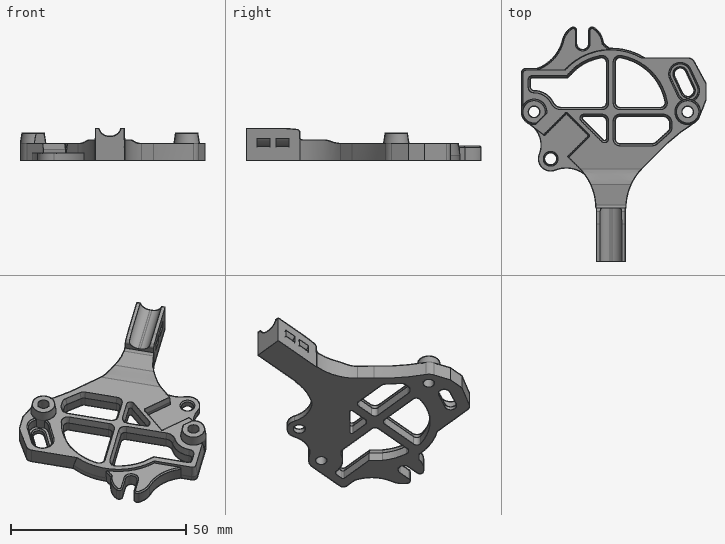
import cadquery as cq
import math


OVERALL_X = 52.76
OVERALL_Y = 66.96

PLATE_Z = 4.9
TAB_Z = 2.1
FORK_Z = 4.15
NECK_Z = 5.9
BOSS_Z = 7.8
ARM_Z = 9.2
DRAFT_Z = 1.4
WINDOW_BREAK_Z = 3.0
POCKET_BREAK_Z = 3.1

BOSS_X = 21.92
BOSS_BASE_R = 3.64
BOSS_TOP_R = 3.2
BOSS_HOLE_D = 3.2
BOSS_FLAT = 2.8
LEFT_BOSS = (-BOSS_X, 0)
RIGHT_BOSS = (BOSS_X, 0)
LEFT_X = -(BOSS_X + BOSS_BASE_R)
RIGHT_X = LEFT_X + OVERALL_X
RIM_R = 18.2
RIM_LEAN = 0.5
BLOCK_Y = 12.4
BLOCK_CORNER_R = 1.4
SHOULDER_Y = 15.42
SHOULDER_CORNER = (23.2, SHOULDER_Y)
SHOULDER_CORNER_R = 2.0
RIGHT_TOP_Y = 8.07
RIGHT_BOTTOM_Y = 3.46
FLANK_SUM = 25.05
FLANK_TOP_X = 12.4
FLANK_BOW = (17.9, -7.4)
BOSS_WRAP = (-57, -21)
TAB_LINE_ANGLE = 240.5
OVERLAP = 2.0

SPOKE_HALF = 1.3
WINDOW_FLARE = 0.65
WINDOW_R = 15.7
WINDOW_FILLET = 1.3
WINDOW_SMALL_FILLET = 0.5
UPPER_LEFT_X = -22.95
UPPER_LEFT_TOP_Y = 9.68
UPPER_LEFT_ARC_END = 128
UPPER_LEFT_LOW_FILLET = 1.0
UPPER_LEFT_GAP_FILLET = 2.5
BOSS_GAP_R = 6.1
LOWER_LEFT_SUM = 10.15
LOWER_RIGHT_X = 16.8
LOWER_RIGHT_BEND_Y = -5.1
LOWER_RIGHT_BOTTOM = (12.4, -9.05)
LOWER_RIGHT_TOP_FILLET = 2.0
LOWER_RIGHT_SLANT_FILLET = 1.5

FORK_X = -8.05
FORK_TOP_Y = 24.2
FORK_HEAD_R = 5.95
FORK_SLOT_R = 1.7
FORK_SLOT_END_Y = 19.5
FORK_TIP_R = 1.0
FORK_TIP_RISE = math.sqrt((FORK_HEAD_R - FORK_TIP_R) ** 2 - (FORK_SLOT_R + FORK_TIP_R) ** 2)
FORK_Y = FORK_TOP_Y - FORK_TIP_R - FORK_TIP_RISE
FORK_CHAMFER = 0.4
FORK_LEFT_FOOT = (-21.0, BLOCK_Y)
FORK_LEFT_HOLLOW = (-15.3, 17.0)
FORK_LEFT_ANGLE = 162
FORK_RIGHT_FOOT = (-0.3, 18.0)
FORK_RIGHT_HOLLOW = (-1.5, 19.0)
FORK_RIGHT_ANGLE = 5

EAR = (-17.2, -13.4)
EAR_R = 3.5
EAR_HOLE_D = 3.4
EAR_CHAMFER = 0.4
TAB_LEFT_R = 7.2
TAB_RIGHT_R = 8.6
TAB_END_X = -4.15
TAB_SHOULDER = (-19.1, -6.63)
POCKET_END_U = -8.98
POCKET_OPEN_U = -25.0
POCKET_V = (-8.95, 0.65)
POCKET_LEAN = 0.35

NECK_HALF = 4.3
ARM_HALF = 4.15
ARM_END_Y = FORK_TOP_Y - OVERALL_Y
ARM_START_Y = -27.5
RAMP_START_Y = -16.3
RAMP_END_Y = -20.75
ARM_FILLET = (0.9, 0.35)
ARM_FILLET_MID = (0.4, 0.3)
ARM_ROUND_START_Z = 8.0
ARM_ROUND_MID = (ARM_START_Y - 0.25, 8.6)
ARM_ROUND_END = (ARM_START_Y - 0.9, 8.9)
ARM_SLOPE_LENGTH = 4.5
GROOVE_HALF = 3.13
GROOVE_DEPTH = 2.26
GROOVE_FLAT = 0.56
TIE_Y = (-32.48, -37.92)
TIE_WIDTH = 3.63
TIE_AXIS_Z = 8.54
TIE_INNER_R = 4.7
TIE_OUTER_R = 6.15

SLOT_A = (19.8, 10.8)
SLOT_B = (22.0, 6.1)
SLOT_R = 1.7
SLOT_SEAT_R = 2.9
SLOT_SEAT_Z = 1.6
SLOT_CHAMFER = 0.4


def polar(center, radius, degrees):
    angle = math.radians(degrees)
    return (center[0] + radius * math.cos(angle), center[1] + radius * math.sin(angle))


def toward(start, end, distance):
    """Point at a distance from start on the way to end."""
    length = math.dist(start, end)
    return tuple(a + (b - a) * distance / length for a, b in zip(start, end))


def box(x_range, y_range, z_range):
    size = [high - low for low, high in (x_range, y_range, z_range)]
    corner = (x_range[0], y_range[0], z_range[0])
    return cq.Workplane("XY").box(*size, centered=False).translate(corner)


def cylinder(center, radius, bottom, top):
    return cq.Workplane("XY", origin=(0, 0, bottom)).center(*center).circle(radius).extrude(top - bottom)


def frustum(center, bottom_radius, top_radius, bottom, top):
    base = cq.Workplane("XY", origin=(0, 0, bottom)).center(*center).circle(bottom_radius)
    return base.workplane(offset=top - bottom).circle(top_radius).loft(ruled=True)


def flared(prism, top, offset):
    """Continue the top face of a prism upward, growing by an offset (negative: shrinking)."""
    face_z = prism.val().BoundingBox().zmax
    height = top - face_z
    angle = math.degrees(math.atan2(offset, height))
    return prism.union(prism.faces(">Z").wires().toPending().extrude(height, taper=-angle, combine=False))


def rounded(prism, corners):
    """Round the upright edges that stand at the given points."""
    for point, radius in corners:
        edge = cq.selectors.NearestToPointSelector((*point, prism.val().Center().z))
        prism = prism.edges("|Z").edges(edge).fillet(radius)
    return prism


def rim():
    disk = cylinder((0, 0), RIM_R, 0, DRAFT_Z)
    disk = disk.union(frustum((0, 0), RIM_R, RIM_R - RIM_LEAN, DRAFT_Z, PLATE_Z))
    half_disk = disk.intersect(box((-RIM_R, RIM_R), (0, RIM_R), (0, PLATE_Z)))
    block = box((LEFT_X, 0), (0, BLOCK_Y), (0, DRAFT_Z))
    block = rounded(block, [((LEFT_X, BLOCK_Y), BLOCK_CORNER_R)])
    skirt = frustum(LEFT_BOSS, BOSS_BASE_R + RIM_LEAN, BOSS_BASE_R, DRAFT_Z, PLATE_Z)
    skirt = skirt.intersect(box((LEFT_X, 0), (0, BLOCK_Y), (0, PLATE_Z)))
    return half_disk.union(flared(block, PLATE_Z, -RIM_LEAN)).union(skirt)


def neck_arc():
    """Upper end and mid point of the right neck arc, tangent to the flank and to the straight neck."""
    radius = (NECK_HALF - ARM_START_Y - FLANK_SUM) / (math.sqrt(2) - 1)
    center = (NECK_HALF + radius, ARM_START_Y)
    return polar(center, radius, 135), polar(center, radius, 157.5)


def mirrored(point):
    return (-point[0], point[1])


def main_body():
    neck_top, neck_mid = neck_arc()
    flank_top = (FLANK_TOP_X, FLANK_TOP_X - FLANK_SUM)
    wrap_low, wrap_high = (polar(RIGHT_BOSS, BOSS_BASE_R, angle) for angle in BOSS_WRAP)
    wrap_mid = polar(RIGHT_BOSS, BOSS_BASE_R, sum(BOSS_WRAP) / 2)
    tab_line_start = polar(LEFT_BOSS, BOSS_BASE_R, TAB_LINE_ANGLE)
    body = (
        cq.Workplane("XY")
        .moveTo(0, SHOULDER_Y)
        .lineTo(*SHOULDER_CORNER)
        .lineTo(RIGHT_X, RIGHT_TOP_Y)
        .lineTo(RIGHT_X, RIGHT_BOTTOM_Y)
        .lineTo(*wrap_high)
        .threePointArc(wrap_mid, wrap_low)
        .threePointArc(FLANK_BOW, flank_top)
        .lineTo(*neck_top)
        .threePointArc(neck_mid, (NECK_HALF, ARM_START_Y))
        .lineTo(-NECK_HALF, ARM_START_Y)
        .threePointArc(mirrored(neck_mid), mirrored(neck_top))
        .lineTo(-FLANK_SUM / 2, -FLANK_SUM / 2)
        .lineTo(*TAB_SHOULDER)
        .lineTo(*tab_line_start)
        .lineTo(-BOSS_X, OVERLAP)
        .lineTo(0, OVERLAP)
        .close()
        .extrude(PLATE_Z)
    )
    body = rounded(body, [(SHOULDER_CORNER, SHOULDER_CORNER_R)])
    return body.union(cylinder(LEFT_BOSS, BOSS_BASE_R, 0, PLATE_Z))


def neck_rise():
    """Raised top of the neck, with an S-shaped ramp and the blend at the foot of the arm."""
    neck_top, neck_mid = neck_arc()
    blend_length, blend_rise = ARM_FILLET
    blend_start_y = ARM_START_Y + blend_length
    share_length, share_rise = ARM_FILLET_MID
    blend_mid = (ARM_START_Y + share_length * blend_length, NECK_Z + share_rise * blend_rise)
    profile = (
        cq.Workplane("YZ", origin=(-neck_top[0], 0, 0))
        .moveTo(RAMP_START_Y + OVERLAP, PLATE_Z)
        .lineTo(RAMP_START_Y, PLATE_Z)
        .spline([(RAMP_END_Y, NECK_Z)], tangents=[(-1, 0), (-1, 0)], includeCurrent=True)
        .lineTo(blend_start_y, NECK_Z)
        .threePointArc(blend_mid, (ARM_START_Y, NECK_Z + blend_rise))
        .lineTo(ARM_START_Y, 0)
        .lineTo(RAMP_START_Y + OVERLAP, 0)
        .close()
        .extrude(2 * neck_top[0])
    )
    outline = (
        cq.Workplane("XY")
        .moveTo(*neck_top)
        .threePointArc(neck_mid, (NECK_HALF, ARM_START_Y))
        .lineTo(-NECK_HALF, ARM_START_Y)
        .threePointArc(mirrored(neck_mid), mirrored(neck_top))
        .close()
        .extrude(ARM_Z)
    )
    return profile.intersect(outline)


def arm():
    body = (
        cq.Workplane("YZ", origin=(-ARM_HALF, 0, 0))
        .moveTo(ARM_START_Y, 0)
        .lineTo(ARM_START_Y, ARM_ROUND_START_Z)
        .threePointArc(ARM_ROUND_MID, ARM_ROUND_END)
        .lineTo(ARM_START_Y - ARM_SLOPE_LENGTH, ARM_Z)
        .lineTo(ARM_END_Y, ARM_Z)
        .lineTo(ARM_END_Y, 0)
        .close()
        .extrude(2 * ARM_HALF)
    )
    run = GROOVE_HALF - GROOVE_FLAT / 2
    radius = (run ** 2 + GROOVE_DEPTH ** 2) / (2 * GROOVE_DEPTH)
    floor_z = ARM_Z - GROOVE_DEPTH
    side = math.degrees(math.asin(run / radius))
    right_mid = polar((GROOVE_FLAT / 2, floor_z + radius), radius, side / 2 - 90)
    groove = (
        cq.Workplane("XZ", origin=(0, ARM_START_Y, 0))
        .moveTo(-GROOVE_FLAT / 2, floor_z)
        .lineTo(GROOVE_FLAT / 2, floor_z)
        .threePointArc(right_mid, (GROOVE_HALF, ARM_Z))
        .lineTo(-GROOVE_HALF, ARM_Z)
        .threePointArc(mirrored(right_mid), (-GROOVE_FLAT / 2, floor_z))
        .close()
        .extrude(ARM_START_Y - ARM_END_Y)
    )
    body = body.cut(groove)
    below_axis = box((-ARM_HALF, ARM_HALF), (ARM_END_Y, ARM_START_Y), (0, TIE_AXIS_Z))
    for middle_y in TIE_Y:
        tie = (
            cq.Workplane("XZ", origin=(0, middle_y + TIE_WIDTH / 2, 0))
            .center(0, TIE_AXIS_Z)
            .circle(TIE_OUTER_R)
            .circle(TIE_INNER_R)
            .extrude(TIE_WIDTH)
        )
        body = body.cut(tie.intersect(below_axis))
    return body


def fork():
    head = (FORK_X, FORK_Y)
    left_side = polar(head, FORK_HEAD_R, FORK_LEFT_ANGLE)
    right_side = polar(head, FORK_HEAD_R, FORK_RIGHT_ANGLE)
    slot_top = FORK_Y + math.sqrt(FORK_HEAD_R ** 2 - FORK_SLOT_R ** 2)
    slot_left = FORK_X - FORK_SLOT_R
    slot_right = FORK_X + FORK_SLOT_R
    body = (
        cq.Workplane("XY")
        .moveTo(*FORK_LEFT_FOOT)
        .threePointArc(FORK_LEFT_HOLLOW, left_side)
        .threePointArc(polar(head, FORK_HEAD_R, 140), (slot_left, slot_top))
        .lineTo(slot_left, FORK_SLOT_END_Y)
        .threePointArc((FORK_X, FORK_SLOT_END_Y - FORK_SLOT_R), (slot_right, FORK_SLOT_END_Y))
        .lineTo(slot_right, slot_top)
        .threePointArc(polar(head, FORK_HEAD_R, 40), right_side)
        .threePointArc(FORK_RIGHT_HOLLOW, FORK_RIGHT_FOOT)
        .lineTo(0, BLOCK_Y - OVERLAP)
        .lineTo(FORK_LEFT_FOOT[0], BLOCK_Y - OVERLAP)
        .close()
        .extrude(FORK_Z - FORK_CHAMFER)
    )
    tips = [((x, slot_top), FORK_TIP_R) for x in (slot_left, slot_right)]
    return flared(rounded(body, tips), FORK_Z, -FORK_CHAMFER)


def hollow_center(first, first_r, second, second_r, hollow_r):
    """Centre of a circle that touches two others from outside, left of the way first -> second."""
    span = math.dist(first, second)
    to_first = first_r + hollow_r
    to_second = second_r + hollow_r
    along = (span ** 2 + to_first ** 2 - to_second ** 2) / (2 * span)
    aside = math.sqrt(to_first ** 2 - along ** 2)
    dx = (second[0] - first[0]) / span
    dy = (second[1] - first[1]) / span
    return (first[0] + along * dx - aside * dy, first[1] + along * dy + aside * dx)


def tab():
    left = hollow_center(EAR, EAR_R, LEFT_BOSS, BOSS_BASE_R, TAB_LEFT_R)
    right_x = TAB_END_X - TAB_RIGHT_R
    reach = EAR_R + TAB_RIGHT_R
    right = (right_x, EAR[1] - math.sqrt(reach ** 2 - (right_x - EAR[0]) ** 2))
    boss_touch = toward(LEFT_BOSS, left, BOSS_BASE_R)
    ear_left = toward(EAR, left, EAR_R)
    ear_right = toward(EAR, right, EAR_R)
    ear_bottom = polar(EAR, EAR_R, 215)
    return (
        cq.Workplane("XY")
        .moveTo(*LEFT_BOSS)
        .lineTo(*boss_touch)
        .threePointArc((left[0] + TAB_LEFT_R, left[1]), ear_left)
        .threePointArc(ear_bottom, ear_right)
        .threePointArc(polar(right, TAB_RIGHT_R, 50), (TAB_END_X, right[1]))
        .lineTo(0, right[1])
        .lineTo(0, 0)
        .close()
        .extrude(TAB_Z)
    )


def tab_pocket():
    """Square-cornered pocket over the tab, open toward the lower left."""
    low_v, high_v = POCKET_V
    prism = box(
        (POCKET_OPEN_U, POCKET_END_U - POCKET_LEAN),
        (-high_v + POCKET_LEAN, -low_v - POCKET_LEAN),
        (TAB_Z, POCKET_BREAK_Z),
    )
    return flared(prism, PLATE_Z, POCKET_LEAN).rotate((0, 0, 0), (0, 0, 1), 45)


def window(outline, corners):
    prism = rounded(outline.close().extrude(WINDOW_BREAK_Z), corners)
    return flared(prism, PLATE_Z, WINDOW_FLARE)


def arc_end():
    """Far end of the window arc, at spoke distance from the axis."""
    return math.sqrt(WINDOW_R ** 2 - SPOKE_HALF ** 2)


def upper_right_window():
    inner = (SPOKE_HALF, SPOKE_HALF)
    right = (arc_end(), SPOKE_HALF)
    top = (SPOKE_HALF, arc_end())
    outline = cq.Workplane("XY").moveTo(*inner).lineTo(*right)
    outline = outline.threePointArc(polar((0, 0), WINDOW_R, 45), top)
    return window(outline, [(p, WINDOW_FILLET) for p in (inner, right, top)])


def upper_left_window():
    inner = (-SPOKE_HALF, SPOKE_HALF)
    top = (-SPOKE_HALF, arc_end())
    left_x = UPPER_LEFT_X
    top_y = UPPER_LEFT_TOP_Y
    arc_stop = polar((0, 0), WINDOW_R, UPPER_LEFT_ARC_END)
    bend = (arc_stop[0] - (arc_stop[1] - top_y), top_y)
    low_left = (left_x, math.sqrt(BOSS_GAP_R ** 2 - (left_x + BOSS_X) ** 2))
    gap_end = (math.sqrt(BOSS_GAP_R ** 2 - SPOKE_HALF ** 2) - BOSS_X, SPOKE_HALF)
    outline = (
        cq.Workplane("XY")
        .moveTo(*inner)
        .lineTo(*top)
        .threePointArc(polar((0, 0), WINDOW_R, (90 + UPPER_LEFT_ARC_END) / 2), arc_stop)
        .lineTo(*bend)
        .lineTo(left_x, top_y)
        .lineTo(*low_left)
        .threePointArc(polar(LEFT_BOSS, BOSS_GAP_R, 50), gap_end)
    )
    corners = [
        (inner, WINDOW_FILLET),
        (top, WINDOW_FILLET),
        ((left_x, top_y), WINDOW_SMALL_FILLET),
        (low_left, UPPER_LEFT_LOW_FILLET),
        (gap_end, UPPER_LEFT_GAP_FILLET),
    ]
    return window(outline, corners)


def lower_left_window():
    inner = (-SPOKE_HALF, -SPOKE_HALF)
    far = LOWER_LEFT_SUM - SPOKE_HALF
    left = (-far, -SPOKE_HALF)
    bottom = (-SPOKE_HALF, -far)
    outline = cq.Workplane("XY").polyline([inner, left, bottom])
    corners = [(inner, WINDOW_FILLET), (left, WINDOW_SMALL_FILLET), (bottom, WINDOW_SMALL_FILLET)]
    return window(outline, corners)


def lower_right_window():
    inner = (SPOKE_HALF, -SPOKE_HALF)
    right_top = (LOWER_RIGHT_X, -SPOKE_HALF)
    right_bottom = (LOWER_RIGHT_X, LOWER_RIGHT_BEND_Y)
    bottom_left = (SPOKE_HALF, LOWER_RIGHT_BOTTOM[1])
    points = [inner, right_top, right_bottom, LOWER_RIGHT_BOTTOM, bottom_left]
    outline = cq.Workplane("XY").polyline(points)
    corners = [
        (inner, WINDOW_FILLET),
        (right_top, LOWER_RIGHT_TOP_FILLET),
        (right_bottom, LOWER_RIGHT_SLANT_FILLET),
        (LOWER_RIGHT_BOTTOM, LOWER_RIGHT_SLANT_FILLET),
        (bottom_left, WINDOW_FILLET),
    ]
    return window(outline, corners)


def obround(radius, bottom, top):
    """Upright prism with the outline of the adjusting slot."""
    length = math.dist(SLOT_A, SLOT_B)
    angle = math.degrees(math.atan2(SLOT_B[1] - SLOT_A[1], SLOT_B[0] - SLOT_A[0]))
    middle = [(a + b) / 2 for a, b in zip(SLOT_A, SLOT_B)]
    base = cq.Workplane("XY", origin=(0, 0, bottom)).center(*middle)
    return base.slot2D(length + 2 * radius, 2 * radius, angle).extrude(top - bottom)


def adjusting_slot():
    through = flared(obround(SLOT_R, 0, SLOT_SEAT_Z - SLOT_CHAMFER), SLOT_SEAT_Z, SLOT_CHAMFER)
    seat = flared(obround(SLOT_SEAT_R, SLOT_SEAT_Z, PLATE_Z - SLOT_CHAMFER), PLATE_Z, SLOT_CHAMFER)
    return through.union(seat).cut(cylinder(RIGHT_BOSS, BOSS_BASE_R, 0, PLATE_Z))


def boss(center):
    return frustum(center, BOSS_BASE_R, BOSS_TOP_R, PLATE_Z, BOSS_Z)


def left_boss():
    """Left boss, with a flat that faces the tab pocket."""
    keep = box((-2 * BOSS_BASE_R, 2 * BOSS_BASE_R), (-BOSS_FLAT, 2 * BOSS_BASE_R), (PLATE_Z, BOSS_Z))
    keep = keep.rotate((0, 0, 0), (0, 0, 1), 45).translate((-BOSS_X, 0, 0))
    return boss(LEFT_BOSS).intersect(keep)


def ear_hole():
    hole_r = EAR_HOLE_D / 2
    hole = cylinder(EAR, hole_r, 0, TAB_Z)
    return hole.union(frustum(EAR, hole_r, hole_r + EAR_CHAMFER, TAB_Z - EAR_CHAMFER, TAB_Z))


plate = rim().union(main_body()).union(fork()).union(tab())
for make_window in (upper_right_window, upper_left_window, lower_left_window, lower_right_window):
    plate = plate.cut(make_window())
plate = plate.cut(adjusting_slot()).cut(tab_pocket())
plate = plate.union(neck_rise()).union(arm())
plate = plate.union(boss(RIGHT_BOSS)).union(left_boss())
for center in (LEFT_BOSS, RIGHT_BOSS):
    plate = plate.cut(cylinder(center, BOSS_HOLE_D / 2, 0, BOSS_Z))
result = plate.cut(ear_hole())